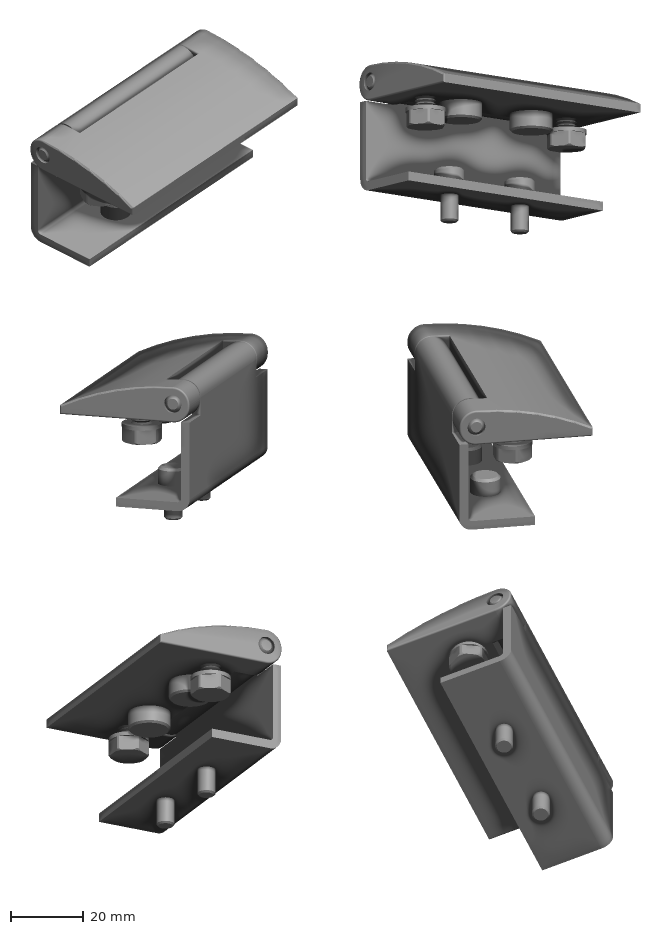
import cadquery as cq
import math


overall_length = 70.0
overall_width = 37.7
overall_height = 42.8

barrel_radius = 4.75
cover_height = 10.0
cover_left = -barrel_radius
cover_right = cover_left + overall_width
cover_top = barrel_radius
cover_bottom = cover_top - cover_height
front_edge_height = 2.5
edge_fillet = 0.5
knuckle_slot_length = 49.7
slot_wall_x = 5.1

sheet_thickness = 2.5
bracket_length = overall_length - 2 * edge_fillet
knuckle_length = 49.35
bracket_left = -barrel_radius
flange_length = 21.5
flange_bottom = -30.45
flange_top = flange_bottom + sheet_thickness
shoulder_z = -5.05
bend_outer_radius = 3.5
bend_inner_radius = bend_outer_radius - sheet_thickness

pin_radius = 2.5
pin_chamfer = 1.0

screw_x = 7.3
screw_spacing = 25.0
screw_radius = 2.5
screw_tip = cover_top - overall_height
screw_tip_chamfer = 0.5
screw_head_radius = 4.3
screw_head_height = 5.0
screw_head_chamfer = 0.7

fitting_x = 12.3
buffer_spacing = screw_spacing
buffer_radius = 5.95
buffer_height = 5.0
buffer_chamfer = 0.55

bolt_spacing = 50.0
thread_radius = 3.0
thread_root_radius = 2.45
thread_turns = 3
exposed_thread = 3.0
bolt_engagement = 5.0
bolt_washer_radius = 5.6
bolt_washer_thickness = 1.1
hex_across_flats = 10.0
hex_height = 4.1
hex_chamfer = 0.4


def pair_positions(spacing):
    """Y positions of two parts placed symmetrically about the middle."""
    return (-spacing / 2, spacing / 2)


def extrude_along_y(outline, y_start, y_end):
    """Extrude an XZ outline between two Y positions."""
    return outline.extrude(-(y_end - y_start)).translate((0, y_start, 0))


def vertical_cylinder(x, y, z_bottom, z_top, radius):
    return cq.Workplane("XY", origin=(x, y, z_bottom)).circle(radius).extrude(z_top - z_bottom)


def hinge_rod(radius, length):
    """Cylinder about the hinge axis, centred on Y = 0."""
    return cq.Workplane("XZ").circle(radius).extrude(length / 2, both=True)


def top_curve_z(x):
    """Height of the cover's top arc, which leaves the hinge axis horizontally."""
    drop = cover_top - (cover_bottom + front_edge_height)
    radius = (cover_right**2 + drop**2) / (2 * drop)
    return cover_top - radius + math.sqrt(radius**2 - x**2)


def cover_outline():
    """Side outline with a round rear, a flat bottom and an arched top."""
    diagonal = barrel_radius * math.sqrt(0.5)
    lower_centre_z = cover_bottom + barrel_radius
    middle_x = cover_right / 2
    return (
        cq.Workplane("XZ")
        .moveTo(0, cover_bottom)
        .lineTo(cover_right, cover_bottom)
        .lineTo(cover_right, top_curve_z(cover_right))
        .threePointArc((middle_x, top_curve_z(middle_x)), (0, cover_top))
        .threePointArc((-diagonal, diagonal), (cover_left, 0))
        .lineTo(cover_left, lower_centre_z)
        .threePointArc((-diagonal, lower_centre_z - diagonal), (0, cover_bottom))
        .close()
    )


def make_cover():
    half_length = overall_length / 2
    half_slot = knuckle_slot_length / 2
    near_end = extrude_along_y(cover_outline(), -half_length, -half_slot)
    near_end = near_end.faces("<Y or >Y").edges().fillet(edge_fillet)
    far_end = near_end.mirror("XZ")

    half_middle = half_slot + edge_fillet
    middle = extrude_along_y(cover_outline(), -half_middle, half_middle)
    behind_wall = cq.Workplane("XY").box(2 * slot_wall_x, overall_length, 2 * cover_height)
    middle = middle.cut(behind_wall)
    cover = middle.union(near_end).union(far_end)

    cover = cover.cut(hinge_rod(pin_radius, overall_length))
    for y in pair_positions(bolt_spacing):
        cover = cover.cut(
            vertical_cylinder(fitting_x, y, cover_bottom, cover_bottom + bolt_engagement, thread_radius)
        )
    return cover


def make_bracket():
    wall_inner_x = bracket_left + sheet_thickness
    flange_right = bracket_left + flange_length
    half_length = bracket_length / 2
    sheet_outline = (
        cq.Workplane("XZ")
        .moveTo(bracket_left, 0)
        .lineTo(bracket_left, flange_bottom)
        .lineTo(flange_right, flange_bottom)
        .lineTo(flange_right, flange_top)
        .lineTo(wall_inner_x, flange_top)
        .lineTo(wall_inner_x, 0)
        .close()
    )
    bracket = extrude_along_y(sheet_outline, -half_length, half_length)
    outer_bend = cq.selectors.NearestToPointSelector((bracket_left, 0, flange_bottom))
    inner_bend = cq.selectors.NearestToPointSelector((wall_inner_x, 0, flange_top))
    bracket = bracket.edges("|Y").edges(outer_bend).fillet(bend_outer_radius)
    bracket = bracket.edges("|Y").edges(inner_bend).fillet(bend_inner_radius)

    notch_length = (bracket_length - knuckle_length) / 2
    for y in pair_positions(bracket_length - notch_length):
        notch = cq.Workplane("XY").box(2 * barrel_radius, notch_length, -shoulder_z)
        bracket = bracket.cut(notch.translate((bracket_left, y, shoulder_z / 2)))

    bracket = bracket.union(hinge_rod(barrel_radius, knuckle_length))
    bracket = bracket.cut(hinge_rod(pin_radius, overall_length))
    for y in pair_positions(screw_spacing):
        bracket = bracket.cut(vertical_cylinder(screw_x, y, flange_bottom, flange_top, screw_radius))
    return bracket


def make_pin():
    pin = hinge_rod(pin_radius, overall_length)
    return pin.faces("<Y or >Y").chamfer(pin_chamfer)


def make_cap_screw(y):
    shank = vertical_cylinder(screw_x, y, screw_tip, flange_top, screw_radius)
    shank = shank.faces("<Z").chamfer(screw_tip_chamfer)
    head = vertical_cylinder(screw_x, y, flange_top, flange_top + screw_head_height, screw_head_radius)
    head = head.faces(">Z").chamfer(screw_head_chamfer)
    return shank.union(head)


def make_buffer(y):
    bottom = cover_bottom - buffer_height
    body = vertical_cylinder(fitting_x, y, bottom, cover_bottom, buffer_radius)
    return body.faces("<Z").chamfer(buffer_chamfer)


def make_hex_bolt(y):
    washer_top = cover_bottom - exposed_thread
    washer_bottom = washer_top - bolt_washer_thickness
    hex_bottom = washer_bottom - hex_height

    pitch = exposed_thread / thread_turns
    shank_outline = (
        cq.Workplane("XZ", origin=(fitting_x, y, 0))
        .moveTo(0, washer_top)
        .lineTo(thread_radius, washer_top)
    )
    for turn in range(thread_turns):
        crest_z = washer_top + turn * pitch
        shank_outline = shank_outline.lineTo(thread_root_radius, crest_z + pitch / 2)
        shank_outline = shank_outline.lineTo(thread_radius, crest_z + pitch)
    shank_end = cover_bottom + bolt_engagement
    shank = shank_outline.lineTo(thread_radius, shank_end).lineTo(0, shank_end).close().revolve()

    washer = vertical_cylinder(fitting_x, y, washer_bottom, washer_top, bolt_washer_radius)

    hex_prism = (
        cq.Workplane("XY", origin=(fitting_x, y, hex_bottom))
        .polygon(6, hex_across_flats, circumscribed=True)
        .extrude(hex_height)
    )
    corner_trim = vertical_cylinder(fitting_x, y, hex_bottom, washer_bottom, bolt_washer_radius)
    corner_trim = corner_trim.faces("<Z").chamfer(hex_chamfer)
    return shank.union(washer).union(hex_prism.intersect(corner_trim))


cover = make_cover()
bracket = make_bracket()
pin = make_pin()
cap_screws = [make_cap_screw(y) for y in pair_positions(screw_spacing)]
buffers = [make_buffer(y) for y in pair_positions(buffer_spacing)]
hex_bolts = [make_hex_bolt(y) for y in pair_positions(bolt_spacing)]

bodies = [cover, bracket, pin, *cap_screws, *buffers, *hex_bolts]
result = cq.Compound.makeCompound([body.val() for body in bodies])